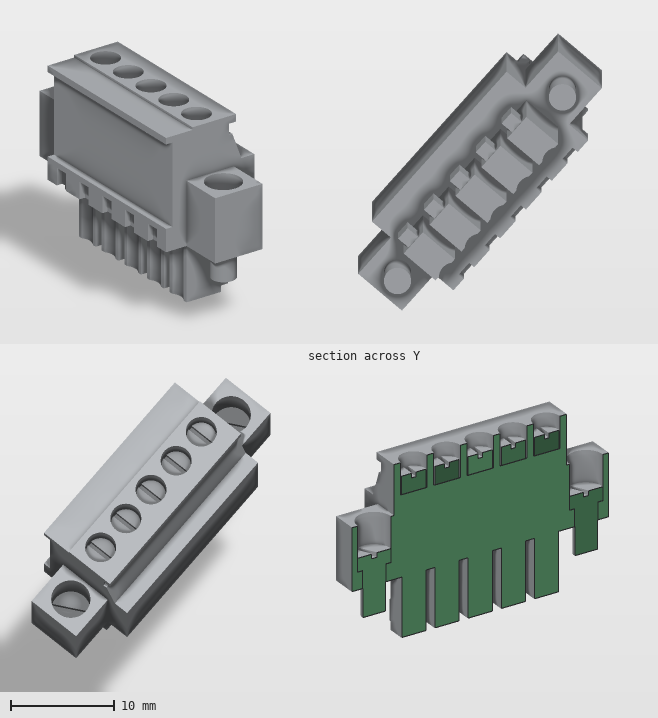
import cadquery as cq
import math


terminal_count = 5
pitch = 3.81
terminal_xs = [(i - (terminal_count - 1) / 2) * pitch for i in range(terminal_count)]

overall_length = 29.44
overall_depth = 10.45
overall_height = 19.1
flange_length = 4.8
block_length = overall_length - 2 * flange_length
block_height = 12.53
front_y = -overall_depth / 2
back_y = overall_depth / 2

front_wall_y = -4.48
toe_height = 2.5
front_lip_top = 12.25
front_lip_bottom = 11.55
top_step_y = -2.08

back_lip_y = 3.07
back_lip_bottom = 11.72
neck_y = 2.25
neck_bottom = 10.55
slope_top_y = 2.62
slope_bottom_y = 3.69
shelf_height = 7.64

notch_width = 1.53
notch_height = 1.88
notch_depth = 0.65
notch_lean = math.radians(3)

contact_width = 2.82
contact_front_y = -2.17
contact_back_y = 1.92
contact_length = overall_height - block_height
groove_width = 1.88
groove_depth = 0.32

tab_width = 1.4
tab_back_y = 3.25
tab_top = -3.97
tab_bottom = -6.3

terminal_hole_diameter = 3.0
terminal_screw_diameter = 2.84
terminal_screw_length = 2.0
terminal_screw_recess = 1.5
terminal_hole_depth = terminal_screw_recess + terminal_screw_length

flange_depth = 5.6
flange_height = 7.0
flange_screw_x = 12.15
flange_head_diameter = 3.8
flange_head_length = 1.5
flange_head_recess = 3.5
flange_shank_diameter = 2.64
flange_screw_end = -3.17
flange_head_top = flange_height - flange_head_recess
flange_seat = flange_head_top - flange_head_length

driver_slot_width = 0.47
driver_slot_depth = 0.5
flange_slot_turn = 27.5


def box(x_center, length, y_min, y_max, z_min, z_max):
    return (
        cq.Workplane("XY")
        .box(length, y_max - y_min, z_max - z_min, centered=(True, False, False))
        .translate((x_center, y_min, z_min))
    )


def cylinder(x_center, diameter, z_min, z_max):
    return (
        cq.Workplane("XY")
        .circle(diameter / 2)
        .extrude(z_max - z_min)
        .translate((x_center, 0, z_min))
    )


def make_block():
    profile = [
        (front_y, 0),
        (front_y, toe_height),
        (front_wall_y, toe_height),
        (front_wall_y, front_lip_bottom),
        (front_y, front_lip_bottom),
        (front_y, front_lip_top),
        (top_step_y, front_lip_top),
        (top_step_y, block_height),
        (back_lip_y, block_height),
        (back_lip_y, back_lip_bottom),
        (neck_y, back_lip_bottom),
        (neck_y, neck_bottom),
        (slope_top_y, neck_bottom),
        (slope_bottom_y, shelf_height),
        (back_y, shelf_height),
        (back_y, 0),
    ]
    return cq.Workplane("YZ").polyline(profile).close().extrude(block_length / 2, both=True)


def make_contact(x):
    """Plug contact with a shallow round groove down its front and a tab on its back."""
    half_width = contact_width / 2
    half_groove = groove_width / 2
    body = (
        cq.Workplane("XY")
        .moveTo(x - half_width, contact_back_y)
        .lineTo(x - half_width, contact_front_y)
        .lineTo(x - half_groove, contact_front_y)
        .threePointArc((x, contact_front_y + groove_depth), (x + half_groove, contact_front_y))
        .lineTo(x + half_width, contact_front_y)
        .lineTo(x + half_width, contact_back_y)
        .close()
        .extrude(-contact_length)
    )
    return body.union(box(x, tab_width, contact_back_y, tab_back_y, tab_bottom, tab_top))


def make_notch(x):
    """Cutter for a toe notch, slightly deeper at the bottom than at the top."""
    notch_top_depth = notch_depth - notch_height * math.tan(notch_lean)
    profile = [
        (front_y, 0),
        (front_y + notch_depth, 0),
        (front_y + notch_top_depth, notch_height),
        (front_y, notch_height),
    ]
    return (
        cq.Workplane("YZ")
        .polyline(profile)
        .close()
        .extrude(notch_width / 2, both=True)
        .translate((x, 0, 0))
    )


def make_housing():
    body = make_block()
    flanges = box(0, overall_length, -flange_depth / 2, flange_depth / 2, 0, flange_height)
    body = body.union(flanges)
    for x in terminal_xs:
        body = body.union(make_contact(x))
        body = body.cut(make_notch(x))
        hole_bottom = block_height - terminal_hole_depth
        body = body.cut(cylinder(x, terminal_hole_diameter, hole_bottom, block_height))
    for x in (-flange_screw_x, flange_screw_x):
        body = body.cut(cylinder(x, flange_shank_diameter, 0, flange_seat))
        body = body.cut(cylinder(x, flange_head_diameter, flange_seat, flange_height))
    return body


def driver_slot(x, diameter, top, turn):
    """Cutter for a screwdriver slot that lies along Y before it is turned about the screw axis."""
    slot = box(0, driver_slot_width, -diameter, diameter, top - driver_slot_depth, top)
    return slot.rotate((0, 0, 0), (0, 0, 1), turn).translate((x, 0, 0))


def make_terminal_screw(x):
    top = block_height - terminal_screw_recess
    screw = cylinder(x, terminal_screw_diameter, top - terminal_screw_length, top)
    return screw.cut(driver_slot(x, terminal_screw_diameter, top, 0))


def make_flange_screw(x):
    head = cylinder(x, flange_head_diameter, flange_seat, flange_head_top)
    shank = cylinder(x, flange_shank_diameter, flange_screw_end, flange_seat)
    slot = driver_slot(x, flange_head_diameter, flange_head_top, flange_slot_turn)
    return head.union(shank).cut(slot)


housing = make_housing()
terminal_screws = [make_terminal_screw(x) for x in terminal_xs]
flange_screws = [make_flange_screw(x) for x in (-flange_screw_x, flange_screw_x)]

bodies = [housing, *terminal_screws, *flange_screws]
result = cq.Compound.makeCompound([body.val() for body in bodies])